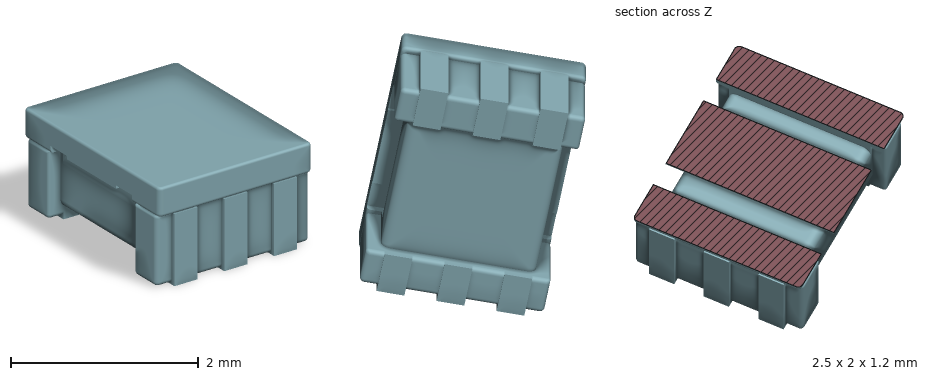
import cadquery as cq

length = 2.5
width = 2.0
height = 1.2
mid_x = length / 2
overlap = 0.025

cover_bottom = 0.85
cover_corner_radius = 0.055
cover_top_radius = 0.03
cover_underside_radius = 0.04

window_length = 1.5
recess_top = 0.935
band_length = 0.9
band_bottom = 0.895

flange_inset = 0.055
flange_inner_x = 0.455
flange_bottom = 0.018
flange_corner_radius = 0.05
flange_edge_radius = 0.03
raised_corner_bottom = 0.048

strap_width = 0.3
strap_pitch = 0.65
strap_outer_y = strap_pitch + strap_width / 2

winding_width = 1.68
winding_bottom = 0.15
winding_top = 0.785
winding_radius = 0.1


def box(x_range, y_range, z_range):
    sizes = [high - low for low, high in (x_range, y_range, z_range)]
    start = (x_range[0], y_range[0], z_range[0])
    return cq.Workplane("XY").box(*sizes, centered=False).translate(start)


def centred(size, centre=0.0):
    return (centre - size / 2, centre + size / 2)


def make_cover():
    plate = box((0, length), centred(width), (cover_bottom, height))
    plate = plate.edges("|Z").fillet(cover_corner_radius)
    plate = plate.faces(">Z").edges().fillet(cover_top_radius)
    return plate.faces("<Z").edges().fillet(cover_underside_radius)


def make_recess():
    recess = box(centred(window_length, mid_x), centred(width), (cover_bottom, recess_top))
    band = box(centred(band_length, mid_x), centred(width), (band_bottom, recess_top))
    return recess.cut(band)


def rounded_flange(bottom):
    """Flange at the low X end, rounded except on its inner top and bottom edges."""
    block = box((flange_inset, flange_inner_x), centred(width), (bottom, cover_bottom))
    block = block.edges("|Z and <X").fillet(flange_corner_radius)
    top_edges = block.faces(">Z").edges("not >X")
    inner_edges = block.edges("|Z and >X")
    block = top_edges.add(inner_edges).fillet(flange_edge_radius)
    return block.faces("<Z").edges("not >X").fillet(flange_corner_radius)


def make_flange():
    square_top = box(
        (flange_inset, flange_inner_x),
        centred(2 * strap_outer_y),
        (cover_bottom - 2 * flange_edge_radius, cover_bottom),
    )
    return rounded_flange(flange_bottom).union(square_top)


def make_marked_flange():
    """Flange whose front corner has a higher underside than the rest."""
    corner = box((0, flange_inner_x), (-width / 2, -strap_outer_y), (0, cover_bottom))
    raised_corner = rounded_flange(raised_corner_bottom).intersect(corner)
    return make_flange().cut(corner).union(raised_corner)


def make_straps():
    straps = cq.Workplane("XY")
    for y in (-strap_pitch, 0, strap_pitch):
        straps = straps.union(box((0, flange_inner_x), centred(strap_width, y), (0, cover_bottom)))
    return straps


def make_winding():
    span = (flange_inner_x - overlap, length - flange_inner_x + overlap)
    winding = box(span, centred(winding_width), (winding_bottom, winding_top))
    return winding.edges("|X").fillet(winding_radius)


def make_shoulder():
    """Upright beside the flange that closes the window end."""
    window_start = mid_x - window_length / 2
    return box(
        (flange_inner_x - overlap, window_start),
        centred(winding_width),
        (winding_top - winding_radius, cover_bottom + overlap),
    )


def opposite_end(body):
    return body.mirror("YZ").translate((length, 0, 0))


end_parts = make_straps().union(make_shoulder())

result = (
    make_cover()
    .cut(make_recess())
    .union(make_winding())
    .union(make_marked_flange())
    .union(end_parts)
    .union(opposite_end(make_flange()))
    .union(opposite_end(end_parts))
)